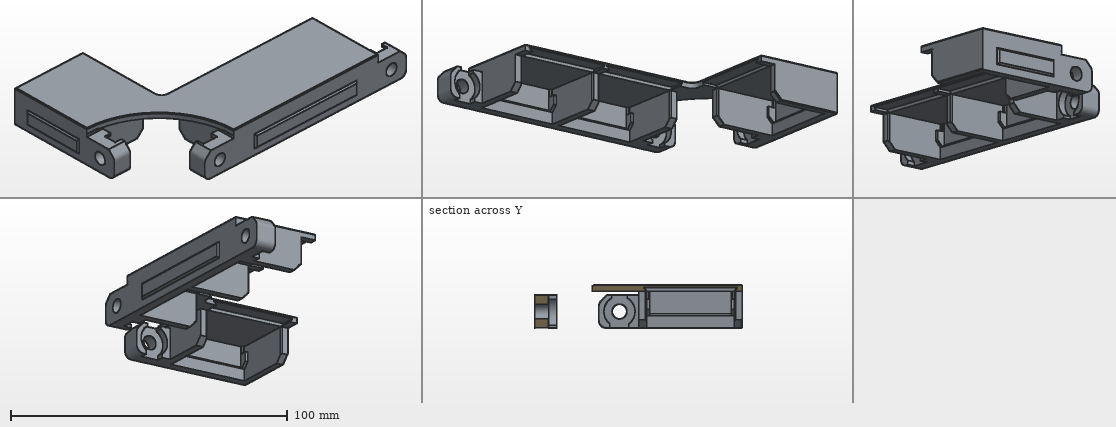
import cadquery as cq

overall_x = 76.0
overall_y = 125.2
height = 15.6

pad_height = 0.8
pad_bevel = 0.69
pad_bottom = 3.0
pad_top = 9.3
short_pad_span = (6.8, 33.8)
long_pad_span = (48.0, 99.4)

plate_length_x = overall_x - pad_height
plate_length_y = 110.3
arm_width = 34.3
corner_cut_radius = 37.5
inner_corner_radius = 3.0
top_edge_chamfer = 0.4
plate_thickness = 2.4
plate_underside = height - plate_thickness

rib_thickness = 3.0
rib_depth = 28.3
rib_foot_chamfer = 3.0
rib_edge_chamfer = 0.5
end_face_chamfer = 0.4
wall_thickness = 3.0
ledge_height = 4.5
ledge_step = 0.8

tab_width = 1.1
tab_top = 10.4
tab_ramp = 2.3
post_depth = 0.8
post_chamfer = 0.5

groove_roof = 14.6
groove_undercut = 1.0

lug_height = 12.0
lug_thickness = 8.0
lug_top_chamfer = 3.0
lug_shoulder_radius = 2.5
lug_foot_radius = 2.8
hole_diameter = 5.3
recess_diameter = 11.3
recess_depth = 3.0
narrow_slot = 5.5
wide_slot = 6.9
far_lug_length = overall_y - pad_height - plate_length_y
near_lug_length = 14.4
far_hole_offset = 6.6
near_hole_offset = 6.9



def box(x0, x1, y0, y1, z0, z1):
    """Box between two opposite corners."""
    return cq.Workplane("XY").box(x1 - x0, y1 - y0, z1 - z0, centered=False).translate((x0, y0, z0))


def prism_along_x(profile_yz, x0, x1):
    """Extrude a y-z profile from x0 to x1."""
    return cq.Workplane("YZ", origin=(x0, 0, 0)).polyline(profile_yz).close().extrude(x1 - x0)


def plate():
    """L-shaped top plate with the quarter-round cut and a chamfered upper edge."""
    inner_x = plate_length_x - arm_width
    outline = (
        cq.Workplane("XY", origin=(0, 0, plate_underside))
        .polyline([
            (0, 0),
            (plate_length_x, 0),
            (plate_length_x, plate_length_y),
            (inner_x, plate_length_y),
            (inner_x, arm_width),
            (0, arm_width),
        ])
        .close()
        .extrude(plate_thickness)
    )
    inner_corner = cq.selectors.NearestToPointSelector((inner_x, arm_width, height - plate_thickness / 2))
    rounded = outline.edges(inner_corner).fillet(inner_corner_radius)
    corner_cut = (
        cq.Workplane("XY", origin=(plate_length_x, 0, 0)).circle(corner_cut_radius).extrude(height)
    )
    return rounded.cut(corner_cut).faces(">Z").edges().chamfer(top_edge_chamfer)


def rib(x0, bay_before, bay_after):
    """Cross rib with a bevelled foot; its inner upright edges are bevelled toward each bay."""
    x1 = x0 + rib_thickness
    body = prism_along_x(
        [
            (0, 0),
            (rib_depth - rib_foot_chamfer, 0),
            (rib_depth, rib_foot_chamfer),
            (rib_depth, plate_underside),
            (0, plate_underside),
        ],
        x0,
        x1,
    )
    c = rib_edge_chamfer
    plan = [(x0, 0), (x1, 0)]
    plan += [(x1, rib_depth - c), (x1 - c, rib_depth)] if bay_after else [(x1, rib_depth)]
    plan += [(x0 + c, rib_depth), (x0, rib_depth - c)] if bay_before else [(x0, rib_depth)]
    return body.intersect(cq.Workplane("XY").polyline(plan).close().extrude(plate_underside))


def bay_wall(x0, x1):
    """Outer wall of one bay, thicker below a sloped ledge."""
    ledge = wall_thickness + ledge_step
    return prism_along_x(
        [
            (0, 0),
            (ledge, 0),
            (ledge, ledge_height),
            (wall_thickness, ledge_height + ledge_step),
            (wall_thickness, plate_underside),
            (0, plate_underside),
        ],
        x0,
        x1,
    )


def bay_tab(x_rib, inward):
    """Tab beside a rib with a ramped underside, and the post above it; inward is +1 or -1."""
    ledge = wall_thickness + ledge_step
    tab = prism_along_x(
        [
            (0, ledge_height),
            (ledge, ledge_height),
            (ledge + tab_ramp, ledge_height + tab_ramp),
            (ledge + tab_ramp, tab_top),
            (0, tab_top),
        ],
        min(x_rib, x_rib + inward * tab_width),
        max(x_rib, x_rib + inward * tab_width),
    )
    post_face = wall_thickness + post_depth
    post = (
        cq.Workplane("XY", origin=(0, 0, tab_top))
        .polyline([
            (x_rib, 0),
            (x_rib + inward * tab_width, 0),
            (x_rib + inward * tab_width, post_face - post_chamfer),
            (x_rib + inward * (tab_width - post_chamfer), post_face),
            (x_rib, post_face),
        ])
        .close()
        .extrude(plate_underside - tab_top)
    )
    return tab.union(post)


def bay_groove(x0, x1):
    """Dovetail groove, wider at its roof, cut under the overhanging plate edge."""
    return (
        cq.Workplane("XZ", origin=(0, arm_width, 0))
        .polyline([
            (x0, plate_underside),
            (x1, plate_underside),
            (x1 + groove_undercut, groove_roof),
            (x0 - groove_undercut, groove_roof),
        ])
        .close()
        .extrude(arm_width - rib_depth)
    )


def pad(span):
    """Raised pad on the outer face with bevelled edges."""
    x0, x1 = span
    base = box(x0, x1, -pad_height, 0, pad_bottom, pad_top)
    return base.faces("<Y").edges().chamfer(pad_bevel)


def lug(x_root, direction, hole_offset, length, top_slot, bottom_slot):
    """Screw lug reaching from x_root along direction (+1 or -1), with a recess open up and down."""
    x_end = x_root + direction * length
    x_hole = x_root + direction * hole_offset
    z_hole = lug_height / 2
    body = (
        cq.Workplane("XZ")
        .polyline([
            (x_root - direction * rib_thickness, 0),
            (x_end, 0),
            (x_end, lug_height - lug_top_chamfer),
            (x_end - direction * lug_top_chamfer, lug_height),
            (x_root - direction * rib_thickness, lug_height),
        ])
        .close()
        .extrude(-lug_thickness)
    )
    mid = lug_thickness / 2
    near = cq.selectors.NearestToPointSelector
    body = body.edges(near((x_end, mid, lug_height - lug_top_chamfer))).fillet(lug_shoulder_radius)
    body = body.edges(near((x_end, mid, 0))).fillet(lug_foot_radius)

    y_floor = lug_thickness - recess_depth
    recess = (
        cq.Workplane("XZ", origin=(x_hole, y_floor, z_hole))
        .circle(recess_diameter / 2)
        .extrude(-recess_depth)
    )
    for width, z0, z1 in ((top_slot, z_hole, lug_height), (bottom_slot, 0, z_hole)):
        recess = recess.union(box(x_hole - width / 2, x_hole + width / 2, y_floor, lug_thickness, z0, z1))
    hole = cq.Workplane("XZ", origin=(x_hole, 0, z_hole)).circle(hole_diameter / 2).extrude(-lug_thickness)
    return body.cut(recess).cut(hole)


def arm(x_start, x_end, bay_count, pad_span):
    """Walls, ribs, tabs and pad of one arm, and the grooves to cut from the plate above."""
    pitch = (x_end - x_start - rib_thickness) / bay_count
    solid = pad(pad_span)
    grooves = cq.Workplane("XY")
    for i in range(bay_count):
        bay_x0 = x_start + i * pitch + rib_thickness
        bay_x1 = x_start + (i + 1) * pitch
        solid = solid.union(bay_wall(bay_x0, bay_x1))
        solid = solid.union(bay_tab(bay_x0, 1)).union(bay_tab(bay_x1, -1))
        grooves = grooves.add(bay_groove(bay_x0, bay_x1))
    for i in range(bay_count + 1):
        solid = solid.union(rib(x_start + i * pitch, i > 0, i < bay_count))
    return solid, grooves.combine()


def place_long(shape):
    """Turn an arm from its own frame onto the +X side of the L."""
    return shape.rotate((0, 0, 0), (0, 0, 1), 90).translate((plate_length_x, 0, 0))


short_end = plate_length_x - corner_cut_radius
short_arm, short_grooves = arm(0, short_end, 1, short_pad_span)
foot_mid = (rib_depth - rib_foot_chamfer / 2, rib_foot_chamfer / 2)
free_face = short_arm.faces("<X")
foot_edges = free_face.edges("<Z").add(
    free_face.edges(cq.selectors.NearestToPointSelector((0, *foot_mid)))
)
short_arm = foot_edges.chamfer(end_face_chamfer)
short_arm = short_arm.union(lug(short_end, 1, near_hole_offset, near_lug_length, narrow_slot, wide_slot))

long_arm, long_grooves = arm(corner_cut_radius, plate_length_y, 2, long_pad_span)
long_arm = long_arm.union(lug(plate_length_y, 1, far_hole_offset, far_lug_length, narrow_slot, wide_slot))
long_arm = long_arm.union(
    lug(corner_cut_radius, -1, near_hole_offset, near_lug_length, wide_slot, narrow_slot)
)

result = (
    plate()
    .cut(short_grooves)
    .cut(place_long(long_grooves))
    .union(short_arm)
    .union(place_long(long_arm))
)